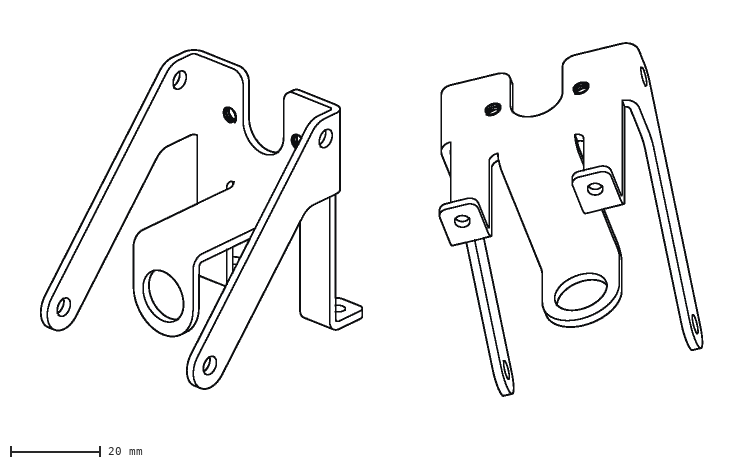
import cadquery as cq
import math


sheet = 2.0
inner_bend = 1.0
outer_bend = inner_bend + sheet

width = 46.0
height = 56.0
plate_width = width - 2 * outer_bend

cut_depth = 2 * width

leg_width = 9.0
foot_length = 10.0
foot_corner = 2.0
foot_hole_diameter = 3.4
foot_hole_inset = 4.4
leg_x = (plate_width - leg_width) / 2
slot_width = plate_width - 2 * leg_width

notch_radius = 6.1
notch_depth = 18.0
notch_corner = 3.0

thread_minor = 3.3
thread_major = 4.0
thread_pitch = 0.7
thread_start_angle = 180
groove_share = 0.9
groove_overlap = 0.05
thread_x = 10.25
thread_z = height - 11.95

arm_root_height = 20.0
arm_end_radius = 5.5
arm_hole_diameter = 4.3
arm_upper_hole_y = -6.6
arm_upper_hole_z = height - 5.05
arm_lower_hole_y = -44.8
arm_lower_hole_z = 8.5
arm_top_round = 5.5
arm_root_round = 4.8

tongue_width = 17.95
tongue_reach = 35.05
slot_top = height / 2
tongue_top = slot_top - inner_bend
tongue_end_radius = tongue_width / 2
tongue_end_centre_z = 14.05
tongue_hole_diameter = 12.2
tongue_hole_z = 14.6
slot_corner = (slot_width - tongue_width) / 2


def extrude_along_x(outline, x_width):
    """Solid with a closed (Y, Z) outline, centred on X = 0."""
    return cq.Workplane("YZ").polyline(outline).close().extrude(x_width / 2, both=True)


def round_corner(body, y, z, radius):
    """Round the X-directed edge that passes through (0, y, z)."""
    return body.edges(cq.selectors.NearestToPointSelector((0, y, z))).fillet(radius)


def cylinder(plane, x, y, z, diameter):
    """Cylinder through everything, centred on a point and normal to a plane."""
    axis_plane = cq.Workplane(plane, origin=(x, y, z))
    return axis_plane.circle(diameter / 2).extrude(cut_depth / 2, both=True)


def plate_and_feet():
    """Plate with two legs, each ending in a foot folded to the back."""
    body = extrude_along_x(
        [
            (-sheet, height),
            (0, height),
            (0, sheet),
            (foot_length, sheet),
            (foot_length, 0),
            (-sheet, 0),
        ],
        plate_width,
    )
    body = round_corner(body, 0, sheet, inner_bend)
    body = round_corner(body, -sheet, 0, outer_bend)

    slot_cut = (
        cq.Workplane("XY")
        .box(slot_width, cut_depth, slot_top, centered=(True, True, False))
        .edges("|Y and >Z")
        .fillet(slot_corner)
    )
    body = body.cut(slot_cut)
    body = body.edges("|Z and >Y").fillet(foot_corner)
    for side in (-1, 1):
        body = body.cut(
            cq.Workplane("XY", origin=(side * leg_x, foot_length - foot_hole_inset, 0))
            .circle(foot_hole_diameter / 2)
            .extrude(sheet)
        )
    return body


def cut_notch(body):
    """Round-bottomed notch with rounded mouth corners in the top edge."""
    centre_z = height - notch_depth + notch_radius
    notch = cylinder("XZ", 0, 0, centre_z, 2 * notch_radius).union(
        cq.Workplane("XY", origin=(0, 0, centre_z))
        .box(2 * notch_radius, cut_depth, height - centre_z, centered=(True, True, False))
    )
    body = body.cut(notch)
    for side in (-1, 1):
        mouth_corner = (side * notch_radius, -sheet / 2, height)
        body = body.edges(cq.selectors.NearestToPointSelector(mouth_corner)).fillet(notch_corner)
    return body


def arms():
    """Upper plate with both side arms: a U channel trimmed to the side outline of the arms."""
    arm_reach = arm_end_radius - arm_lower_hole_y
    channel = (
        cq.Workplane("XY")
        .box(width, arm_reach, height, centered=(True, False, False))
        .translate((0, -arm_reach, 0))
        .edges("|Z and >Y")
        .fillet(outer_bend)
    )
    channel_core = (
        cq.Workplane("XY")
        .box(width - 2 * sheet, arm_reach, height, centered=(True, False, False))
        .translate((0, -arm_reach - sheet, 0))
        .edges("|Z and >Y")
        .fillet(inner_bend)
    )

    run_y = arm_lower_hole_y - arm_upper_hole_y
    run_z = arm_lower_hole_z - arm_upper_hole_z
    run_length = math.hypot(run_y, run_z)
    along_y = run_y / run_length
    along_z = run_z / run_length
    offset_y = arm_end_radius * along_z
    offset_z = -arm_end_radius * along_y
    upper_tangent = (arm_lower_hole_y + offset_y, arm_lower_hole_z + offset_z)
    lower_tangent = (arm_lower_hole_y - offset_y, arm_lower_hole_z - offset_z)
    tip = (
        arm_lower_hole_y + arm_end_radius * along_y,
        arm_lower_hole_z + arm_end_radius * along_z,
    )
    root_z = height - arm_root_height
    top_corner_y = upper_tangent[0] + (height - upper_tangent[1]) * along_y / along_z
    root_corner_y = lower_tangent[0] + (root_z - lower_tangent[1]) * along_y / along_z

    silhouette = (
        cq.Workplane("YZ")
        .moveTo(0, height)
        .lineTo(top_corner_y, height)
        .lineTo(*upper_tangent)
        .threePointArc(tip, lower_tangent)
        .lineTo(root_corner_y, root_z)
        .lineTo(0, root_z)
        .close()
        .extrude(width, both=True)
    )
    silhouette = round_corner(silhouette, top_corner_y, height, arm_top_round)
    silhouette = round_corner(silhouette, root_corner_y, root_z, arm_root_round)

    body = channel.cut(channel_core).intersect(silhouette)
    body = body.cut(cylinder("YZ", 0, arm_upper_hole_y, arm_upper_hole_z, arm_hole_diameter))
    return body.cut(cylinder("YZ", 0, arm_lower_hole_y, arm_lower_hole_z, arm_hole_diameter))


def tongue():
    """Strip folded forward from the plate, then down to a round end with a large hole."""
    tongue_underside = tongue_top - sheet
    root_z = slot_top + sheet
    end_back_y = sheet - tongue_reach
    body = extrude_along_x(
        [
            (0, root_z),
            (0, tongue_underside),
            (end_back_y, tongue_underside),
            (end_back_y, tongue_end_centre_z),
            (-tongue_reach, tongue_end_centre_z),
            (-tongue_reach, tongue_top),
            (-sheet, tongue_top),
            (-sheet, root_z),
        ],
        tongue_width,
    )
    body = round_corner(body, -sheet, tongue_top, inner_bend)
    body = round_corner(body, 0, tongue_underside, outer_bend)
    body = round_corner(body, end_back_y, tongue_underside, inner_bend)
    body = round_corner(body, -tongue_reach, tongue_top, outer_bend)
    round_end = (
        cq.Workplane("XZ", origin=(0, end_back_y, tongue_end_centre_z))
        .circle(tongue_end_radius)
        .extrude(sheet)
    )
    hole = (
        cq.Workplane("XZ", origin=(0, end_back_y, tongue_hole_z))
        .circle(tongue_hole_diameter / 2)
        .extrude(sheet)
    )
    return body.union(round_end).cut(hole)


def thread_cutter():
    """Bore with a helical V groove along +Z, one pitch longer at each end than the sheet is thick."""
    cutter_length = sheet + 2 * thread_pitch
    groove_half = groove_share * thread_pitch / 2
    bore_radius = thread_minor / 2
    groove_base = bore_radius - groove_overlap
    helix = cq.Workplane(obj=cq.Wire.makeHelix(thread_pitch, cutter_length, bore_radius))
    groove = (
        cq.Workplane("XZ")
        .polyline(
            [
                (groove_base, -groove_half),
                (thread_major / 2, 0),
                (groove_base, groove_half),
            ]
        )
        .close()
        .sweep(helix, isFrenet=True)
    )
    bore = (
        cq.Workplane("XY", origin=(0, 0, -thread_pitch))
        .circle(bore_radius)
        .extrude(cutter_length + 2 * thread_pitch)
    )
    return bore.union(groove).rotate((0, 0, 0), (0, 0, 1), thread_start_angle)


def cut_threads(body):
    """Two threaded holes through the plate, one on each side of the notch."""
    cutter = thread_cutter().rotate((0, 0, 0), (1, 0, 0), 90)
    for side in (-1, 1):
        body = body.cut(cutter.translate((side * thread_x, thread_pitch, thread_z)))
    return body


result = plate_and_feet().union(arms()).union(tongue())
result = cut_threads(cut_notch(result))